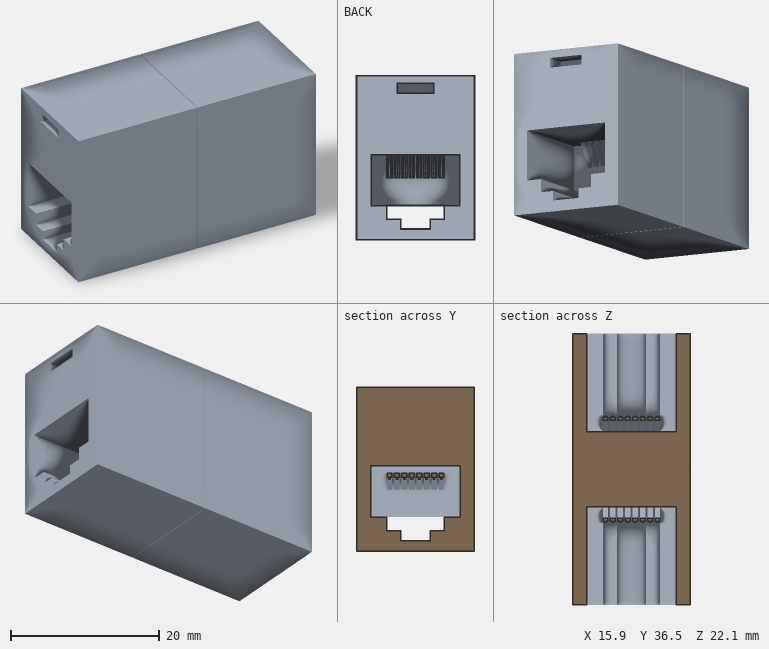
import cadquery as cq
import math

width = 15.95
length = 36.53
height = 22.15
half_length = length / 2

groove_width = 0.15
groove_depth = 0.07

socket_width = 12.0
socket_top = 11.47
socket_floor = 4.6
socket_depth = 13.15
shoulder_width = 7.7
shoulder_floor = 2.8
latch_width = 3.9
latch_floor = 1.5

slot_width = 4.85
slot_height = 1.3
slot_top_margin = 1.05
slot_depth = 2.92

contact_count = 8
contact_row_width = 7.75
contact_width = 0.73
contact_pitch = (contact_row_width - contact_width) / (contact_count - 1)
contact_thickness = 0.35
contact_tip = 8.35
contact_slope = math.radians(55)
embed = 0.35

rib_width = 0.3
rib_proud = 0.15

front = -half_length
end_wall = front + socket_depth


def centred_block(block_width, bottom, top, y_start, y_end):
    """Block centred on X, between two heights and two Y positions."""
    return (
        cq.Workplane("XY")
        .box(block_width, y_end - y_start, top - bottom, centered=(True, False, False))
        .translate((0, y_start, bottom))
    )


def sloping_bar(bar_width, thickness, proud, centre_x):
    """Bar from the ceiling to the end wall, its lower face set proud of the contact face (along Y)."""
    rise = math.tan(contact_slope)
    bar_top = socket_top + embed
    wall_y = end_wall + embed
    wall_tip = contact_tip - (embed + proud) * rise
    lower_start = wall_y - (bar_top - wall_tip) / rise
    depth_along_y = thickness / math.sin(contact_slope)
    return (
        cq.Workplane("YZ")
        .polyline([
            (wall_y, wall_tip),
            (lower_start, bar_top),
            (lower_start + depth_along_y, bar_top),
            (wall_y, wall_tip + depth_along_y * rise),
        ])
        .close()
        .extrude(bar_width / 2, both=True)
        .translate((centre_x, 0, 0))
    )


def ribbed_contact(centre_x):
    rib = sloping_bar(rib_width, contact_thickness, rib_proud, centre_x)
    below_tip = centred_block(width, 0, contact_tip, front, 0)
    return sloping_bar(contact_width, contact_thickness, 0, centre_x).union(rib.cut(below_tip))


def parting_groove():
    band = centred_block(width, 0, height, -groove_width / 2, groove_width / 2)
    core_width = width - 2 * groove_depth
    core_top = height - groove_depth
    core = centred_block(core_width, groove_depth, core_top, -groove_width / 2, groove_width / 2)
    return band.cut(core)


def socket_and_slot():
    slot_top = height - slot_top_margin
    socket = centred_block(socket_width, socket_floor, socket_top, front, end_wall)
    slot = centred_block(slot_width, slot_top - slot_height, slot_top, front, front + slot_depth)
    return socket.union(slot)


def contacts():
    row = cq.Workplane("XY")
    for index in range(contact_count):
        centre_x = (index - (contact_count - 1) / 2) * contact_pitch
        row = row.union(ribbed_contact(centre_x))
    return row


def at_both_ends(shape):
    return shape.union(shape.mirror("XZ"))


shoulder_channel = centred_block(shoulder_width, shoulder_floor, socket_floor, front, half_length)
latch_channel = centred_block(latch_width, latch_floor, shoulder_floor, front, half_length)

housing = centred_block(width, 0, height, front, half_length)
housing = housing.cut(parting_groove())
housing = housing.cut(at_both_ends(socket_and_slot()))
housing = housing.cut(shoulder_channel).cut(latch_channel)

result = housing.union(at_both_ends(contacts()))